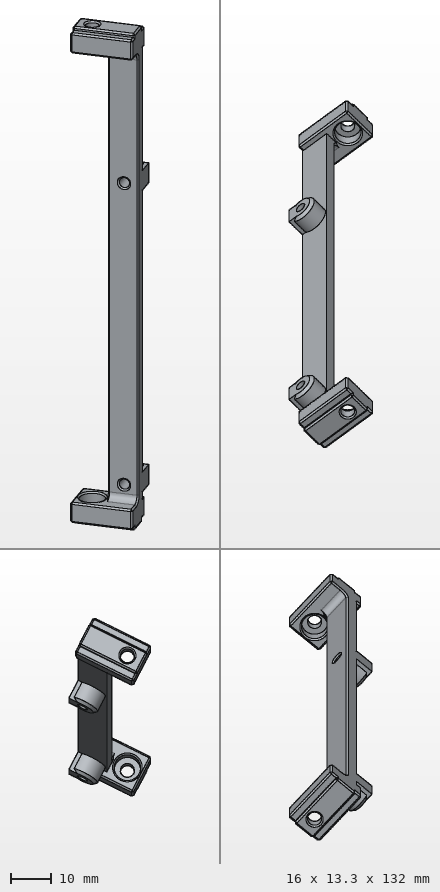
import cadquery as cq

length = 132.0
edge_chamfer = 0.45
hole_rim_chamfer = 0.4

block_x = 16.0
block_y = 10.0
block_z = 5.4
tongue_y = 6.1
tongue_z = 0.9
block_outer_z = length / 2 - tongue_z
block_inner_z = block_outer_z - block_z

screw_inset = 4.1
screw_x = screw_inset - block_x / 2
screw_diameter = 3.4
screw_head_diameter = 6.5
screw_head_depth = 3.3

bar_x = 7.9
bar_y = 3.2
bar_setback = 1.7
bar_center_x = (block_x - bar_x) / 2
bar_back_y = block_y / 2 - bar_setback
bar_front_y = bar_back_y - bar_y
root_radius = 1.8

boss_diameter = 7.5
boss_center_x = (block_x - boss_diameter) / 2
boss_overhang = 3.3
boss_back_y = block_y / 2 + boss_overhang
boss_length = boss_back_y - bar_back_y + bar_y / 2
boss_chamfer = 0.8
boss_tab_z = 5.3
boss_heights = (24.7, -55.5)
boss_hole_diameter = 2.6


def make_rim(diameter, mouth_center, inward):
    """Conical cutter that chamfers the mouth of a hole running in the inward direction."""
    cone = cq.Solid.makeCone(
        diameter / 2 + hole_rim_chamfer,
        diameter / 2,
        hole_rim_chamfer,
        cq.Vector(*mouth_center),
        cq.Vector(*inward),
    )
    return cq.Workplane(cone)


def make_end_block():
    """Upper end block with its raised tongue, screw hole and head recess."""
    block = (
        cq.Workplane("XY", origin=(0, 0, block_inner_z))
        .box(block_x, block_y, block_z, centered=(True, True, False))
        .edges()
        .chamfer(edge_chamfer)
    )
    tongue = (
        cq.Workplane("XY", origin=(0, 0, block_inner_z + block_z / 2))
        .box(block_x, tongue_y, block_z / 2 + tongue_z, centered=(True, True, False))
        .edges("|Z or >Z")
        .chamfer(edge_chamfer)
    )
    hole = (
        cq.Workplane("XY", origin=(screw_x, 0, block_inner_z))
        .circle(screw_diameter / 2)
        .extrude(block_z + tongue_z)
    )
    rim = make_rim(screw_diameter, (screw_x, 0, length / 2), (0, 0, -1))
    recess = (
        cq.Workplane("XY", origin=(screw_x, 0, block_inner_z))
        .circle(screw_head_diameter / 2)
        .extrude(screw_head_depth)
    )
    recess_rim = make_rim(screw_head_diameter, (screw_x, 0, block_inner_z), (0, 0, 1))
    return block.union(tongue).cut(hole).cut(rim).cut(recess).cut(recess_rim)


def make_bar():
    """Bar with a concave flare at the front of each end and chamfered front edges."""
    embedded_z = block_inner_z + block_z / 2
    straight_z = block_inner_z - root_radius
    flare_y = bar_front_y - root_radius
    bar = (
        cq.Workplane("YZ", origin=(bar_center_x - bar_x / 2, 0, 0))
        .moveTo(bar_back_y, -embedded_z)
        .lineTo(bar_back_y, embedded_z)
        .lineTo(flare_y, embedded_z)
        .lineTo(flare_y, block_inner_z)
        .radiusArc((bar_front_y, straight_z), root_radius)
        .lineTo(bar_front_y, -straight_z)
        .radiusArc((flare_y, -block_inner_z), root_radius)
        .lineTo(flare_y, -embedded_z)
        .close()
        .extrude(bar_x)
    )
    front_edges = bar.faces("<X or >X").edges().filter(
        lambda edge: edge.Center().y < bar_front_y + edge_chamfer and abs(edge.Center().z) < block_inner_z
    )
    return bar.newObject(front_edges.vals()).chamfer(edge_chamfer)


def make_boss(z):
    """Round chamfered boss with a narrow tab out to its +X side."""
    boss = (
        cq.Workplane("XZ", origin=(boss_center_x, boss_back_y, z))
        .circle(boss_diameter / 2)
        .extrude(boss_length)
        .faces(">Y")
        .chamfer(boss_chamfer)
    )
    tab = cq.Workplane("XY").box(boss_diameter / 2, boss_length, boss_tab_z, centered=(False, False, True))
    return boss.union(tab.translate((boss_center_x, boss_back_y - boss_length, z)))


def make_boss_hole(z):
    """Through hole of a boss with a chamfered rim at the front of the bar."""
    hole = (
        cq.Workplane("XZ", origin=(boss_center_x, boss_back_y, z))
        .circle(boss_hole_diameter / 2)
        .extrude(boss_back_y - bar_front_y)
    )
    rim = make_rim(boss_hole_diameter, (boss_center_x, bar_front_y, z), (0, 1, 0))
    return hole.union(rim)


upper_end = make_end_block()
result = make_bar().union(upper_end).union(upper_end.mirror("XY"))
for height in boss_heights:
    result = result.union(make_boss(height)).cut(make_boss_hole(height))